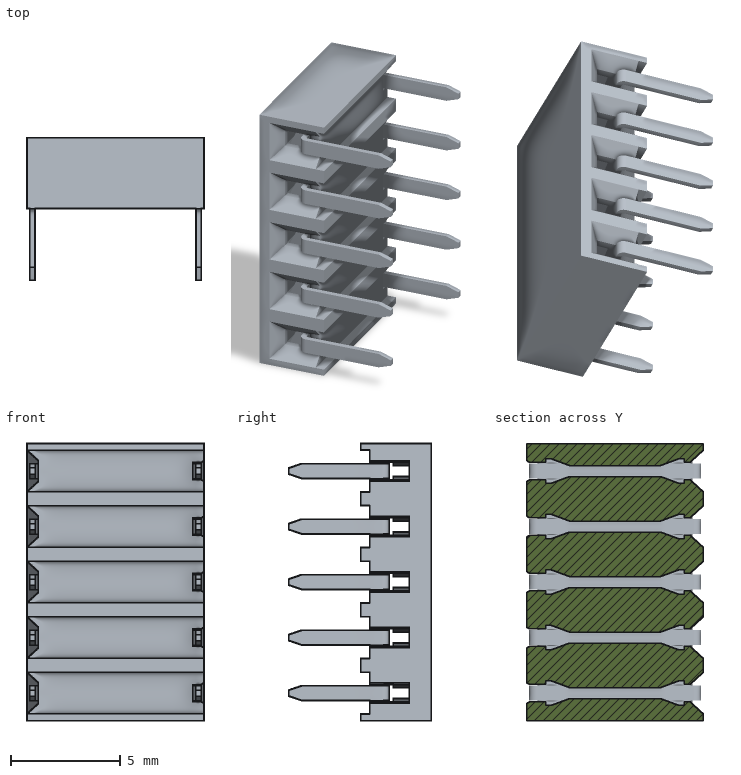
import cadquery as cq

LENGTH_X = 8.1
POSITIONS = 5
PITCH = 2.54
HEIGHT_Z = POSITIONS * PITCH
RIB_THICKNESS = 0.64
RIB_TIP_Y = -3.24
FLOOR_Y = -2.82
CHANNEL_HEIGHT = PITCH - RIB_THICKNESS

SLOT_HEIGHT = 0.79
SLOT_REAR_Y = -1.02
FUNNEL_REAR_Y = -0.51
FUNNEL_DEPTH = 0.61
MOUTH_CHAMFER_DEPTH = 0.14
MOUTH_CHAMFER_WIDTH = 0.08

CHAMBER_INSET_X = 0.9
CHAMBER_RELIEF = 0.15
RAIL_GAP = 0.48
RAIL_REAR_Y = SLOT_REAR_Y
RAIL_FRONT_Y = -1.75
RAIL_INSET_X = 1.14
RAIL_TAPER_LENGTH = 0.83

METAL = 0.25
CONTACT_WIDTH = 0.69
CONTACT_CENTRE_X = LENGTH_X / 2
LEG_SPACING = 7.61
BAR_REAR_Y = -1.92
BAR_FRONT_Y = BAR_REAR_Y - METAL
BEND_OUTER_RADIUS = 0.34
BEND_INNER_RADIUS = BEND_OUTER_RADIUS - METAL
TIP_Y = -6.53
TIP_LENGTH = 0.6
TIP_WIDTH = 0.28

CORE_INSET_X = 0.51
CORE_EDGE_RADIUS = 0.42


def block(x_range, y_range, z_range):
    """Box between two limits on each axis."""
    sizes = [high - low for low, high in (x_range, y_range, z_range)]
    corner = (x_range[0], y_range[0], z_range[0])
    return cq.Workplane("XY").box(*sizes, centered=False).translate(corner)


def tapered_mouth(face_x, inward, depth, rear_edges, heights):
    """Cut that shrinks inward from an end face; pairs give its (outer, inner) rear Y and height."""
    def section(x, rear_y, height):
        top = height / 2
        corners = [(rear_y, -top), (rear_y, top), (FLOOR_Y, top), (FLOOR_Y, -top)]
        return cq.Wire.makePolygon([cq.Vector(x, y, z) for y, z in corners], close=True)

    outer = section(face_x, rear_edges[0], heights[0])
    inner = section(face_x + inward * depth, rear_edges[1], heights[1])
    return cq.Workplane("XY").add(cq.Solid.makeLoft([outer, inner], True))


def make_core():
    """Rounded core under the crossbar of one position."""
    core = block(
        (CORE_INSET_X, LENGTH_X - CORE_INSET_X),
        (FLOOR_Y, BAR_FRONT_Y),
        (-CHANNEL_HEIGHT / 2, CHANNEL_HEIGHT / 2),
    )
    return core.edges("|Z and >Y").fillet(CORE_EDGE_RADIUS)


def make_rails():
    """Two rails, above and below the slot centre, tapered at both ends."""
    outer_z = SLOT_HEIGHT / 2 + CHAMBER_RELIEF
    inner_z = RAIL_GAP / 2
    lower_rail = (
        cq.Workplane("XZ", origin=(0, RAIL_REAR_Y, 0))
        .moveTo(RAIL_INSET_X, -outer_z)
        .lineTo(RAIL_INSET_X + RAIL_TAPER_LENGTH, -inner_z)
        .lineTo(LENGTH_X - RAIL_INSET_X - RAIL_TAPER_LENGTH, -inner_z)
        .lineTo(LENGTH_X - RAIL_INSET_X, -outer_z)
        .close()
        .extrude(RAIL_REAR_Y - RAIL_FRONT_Y)
    )
    return lower_rail.add(lower_rail.mirror("XY"))


def make_contact_cavity():
    """Everything removed behind the floor at one position, centred on Z = 0."""
    slot = block((0, LENGTH_X), (FLOOR_Y, SLOT_REAR_Y), (-SLOT_HEIGHT / 2, SLOT_HEIGHT / 2))
    chamber_half_height = SLOT_HEIGHT / 2 + CHAMBER_RELIEF
    chamber = block(
        (CHAMBER_INSET_X, LENGTH_X - CHAMBER_INSET_X),
        (RAIL_FRONT_Y, SLOT_REAR_Y + CHAMBER_RELIEF),
        (-chamber_half_height, chamber_half_height),
    )
    funnel = tapered_mouth(
        0, 1, FUNNEL_DEPTH, (FUNNEL_REAR_Y, SLOT_REAR_Y), (CHANNEL_HEIGHT, SLOT_HEIGHT)
    )
    chamfer = tapered_mouth(
        LENGTH_X,
        -1,
        MOUTH_CHAMFER_DEPTH,
        (SLOT_REAR_Y, SLOT_REAR_Y),
        (SLOT_HEIGHT + 2 * MOUTH_CHAMFER_WIDTH, SLOT_HEIGHT),
    )
    cavity = slot.union(chamber).union(funnel).union(chamfer).cut(make_core())
    for rail in make_rails().vals():
        cavity = cavity.cut(cq.Workplane(rail))
    return cavity


def make_housing(position_heights):
    housing = block((0, LENGTH_X), (RIB_TIP_Y, 0), (0, HEIGHT_Z))
    channel = block(
        (0, LENGTH_X), (RIB_TIP_Y, FLOOR_Y), (-CHANNEL_HEIGHT / 2, CHANNEL_HEIGHT / 2)
    )
    cavity = make_contact_cavity()
    for z in position_heights:
        housing = housing.cut(channel.translate((0, 0, z))).cut(cavity.translate((0, 0, z)))
    return housing


def make_half_staple():
    """Left half of the staple: half the crossbar, the bend and the leg."""
    outer_x = CONTACT_CENTRE_X - LEG_SPACING / 2 - METAL / 2
    inner_x = outer_x + METAL
    bend_x = outer_x + BEND_OUTER_RADIUS
    bend_y = BAR_REAR_Y - BEND_OUTER_RADIUS
    return (
        cq.Workplane("XY", origin=(0, 0, -CONTACT_WIDTH / 2))
        .moveTo(CONTACT_CENTRE_X, BAR_REAR_Y)
        .lineTo(bend_x, BAR_REAR_Y)
        .radiusArc((outer_x, bend_y), -BEND_OUTER_RADIUS)
        .lineTo(outer_x, TIP_Y)
        .lineTo(inner_x, TIP_Y)
        .lineTo(inner_x, bend_y)
        .radiusArc((bend_x, BAR_FRONT_Y), BEND_INNER_RADIUS)
        .lineTo(CONTACT_CENTRE_X, BAR_FRONT_Y)
        .close()
        .extrude(CONTACT_WIDTH)
    )


def make_contact(z):
    """One staple contact with pointed leg tips, centred on the given height."""
    half = make_half_staple()
    staple = half.union(half.mirror("YZ", (CONTACT_CENTRE_X, 0, 0)))
    taper_start_y = TIP_Y + TIP_LENGTH
    pointed_outline = (
        cq.Workplane("YZ")
        .moveTo(BAR_REAR_Y, CONTACT_WIDTH / 2)
        .lineTo(taper_start_y, CONTACT_WIDTH / 2)
        .lineTo(TIP_Y, TIP_WIDTH / 2)
        .lineTo(TIP_Y, -TIP_WIDTH / 2)
        .lineTo(taper_start_y, -CONTACT_WIDTH / 2)
        .lineTo(BAR_REAR_Y, -CONTACT_WIDTH / 2)
        .close()
        .extrude(LENGTH_X)
    )
    return staple.intersect(pointed_outline).translate((0, 0, z))


position_heights = [(index + 0.5) * PITCH for index in range(POSITIONS)]
housing = make_housing(position_heights)
contacts = [make_contact(z) for z in position_heights]

result = cq.Compound.makeCompound([housing.val(), *[contact.val() for contact in contacts]])